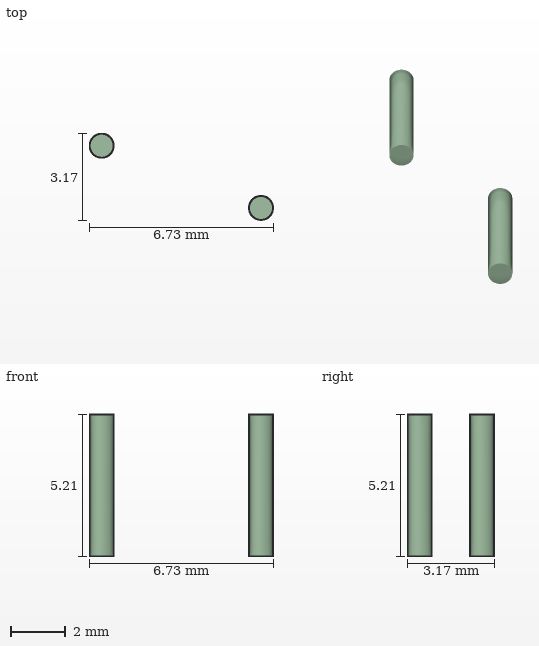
import cadquery as cq

overall_x = 6.73
overall_y = 3.17
pin_height = 5.21
pin_diameter = 0.89

spacing_x = overall_x - pin_diameter
spacing_y = overall_y - pin_diameter

pin_positions = [
    (-spacing_x / 2, spacing_y / 2),
    (spacing_x / 2, -spacing_y / 2),
]


def make_pin(x, y):
    """Plain upright cylindrical pin standing on the XY plane."""
    return cq.Workplane("XY").center(x, y).circle(pin_diameter / 2).extrude(pin_height)


pins = [make_pin(x, y) for x, y in pin_positions]

result = cq.Compound.makeCompound([pin.val() for pin in pins])